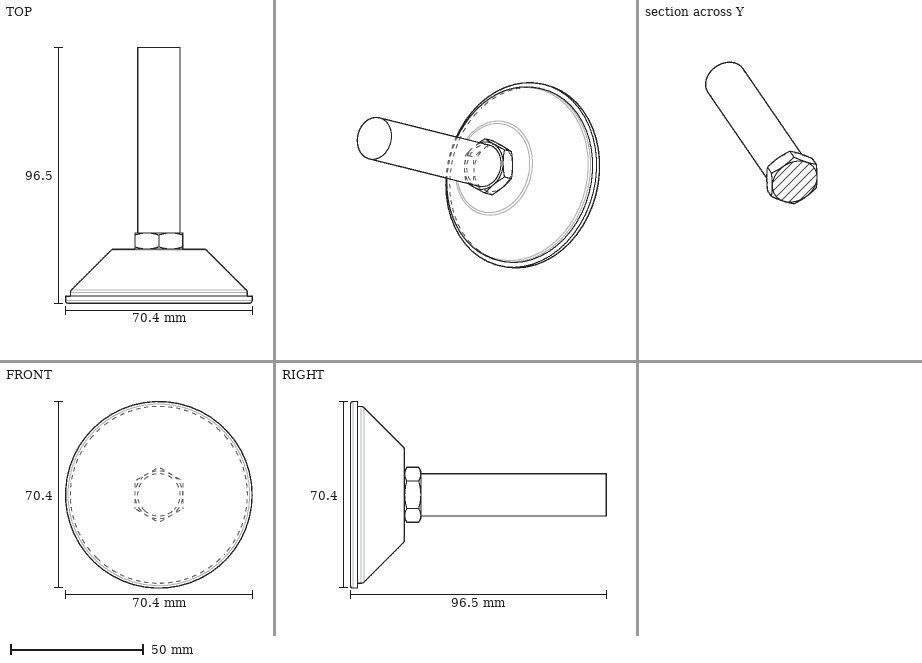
import cadquery as cq
import math


total_length = 96.5
pad_diameter = 70.4
pad_thickness = 2.7
pad_edge_radius = 1.0
base_diameter = 66.8
base_rim_top = 4.6
base_top = 20.5
cone_angle = 45.0
base_edge_radius = 1.35
hex_height = 6.1
hex_across_flats = 18.0
hex_chamfer_angle = 30.0
stud_diameter = 16.0

axis_start = -total_length / 2
base_radius = base_diameter / 2
base_top_radius = base_radius - (base_top - base_rim_top) * math.tan(math.radians(cone_angle))
hex_across_corners = hex_across_flats / math.cos(math.radians(30))
hex_chamfer_width = (hex_across_corners - hex_across_flats) / 2
hex_chamfer_depth = hex_chamfer_width * math.tan(math.radians(hex_chamfer_angle))


def plane_at(height):
    """Sketch plane across the axis, facing +Y, at a height above the pad face."""
    origin = (0, axis_start + height, 0)
    return cq.Workplane(cq.Plane(origin=origin, xDir=(1, 0, 0), normal=(0, 1, 0)))


def revolve_profile(points):
    """Solid of revolution about the Y axis from (radius, height) points."""
    outline = [(radius, axis_start + height) for radius, height in points]
    return cq.Workplane("XY").polyline(outline).close().revolve(360, (0, 0), (0, 1))


def make_pad():
    """Flat round pad with a rounded lower edge."""
    pad = plane_at(0).circle(pad_diameter / 2).extrude(pad_thickness)
    return pad.faces("<Y").edges().fillet(pad_edge_radius)


def make_base():
    """Conical base with a short straight rim and rounded cone edges."""
    cone = revolve_profile([
        (0, pad_thickness),
        (base_radius, pad_thickness),
        (base_radius, base_rim_top),
        (base_top_radius, base_top),
        (0, base_top),
    ])
    return cone.edges("%CIRCLE").edges("not <Y").fillet(base_edge_radius)


def make_stud():
    """Round stud with a hexagon at its foot, the hexagon chamfered at both ends."""
    hex_top = base_top + hex_height
    flat_radius = hex_across_flats / 2
    corner_radius = hex_across_corners / 2
    hexagon = plane_at(base_top).transformed(rotate=(0, 0, 90)).polygon(6, hex_across_corners)
    chamfer_envelope = revolve_profile([
        (0, base_top),
        (flat_radius, base_top),
        (corner_radius, base_top + hex_chamfer_depth),
        (corner_radius, hex_top - hex_chamfer_depth),
        (flat_radius, hex_top),
        (0, hex_top),
    ])
    hexagon = hexagon.extrude(hex_height).intersect(chamfer_envelope)
    shank = plane_at(hex_top).circle(stud_diameter / 2).extrude(total_length - hex_top)
    return hexagon.union(shank)


pad = make_pad()
base = make_base()
stud = make_stud()

result = cq.Compound.makeCompound([pad.val(), base.val(), stud.val()])